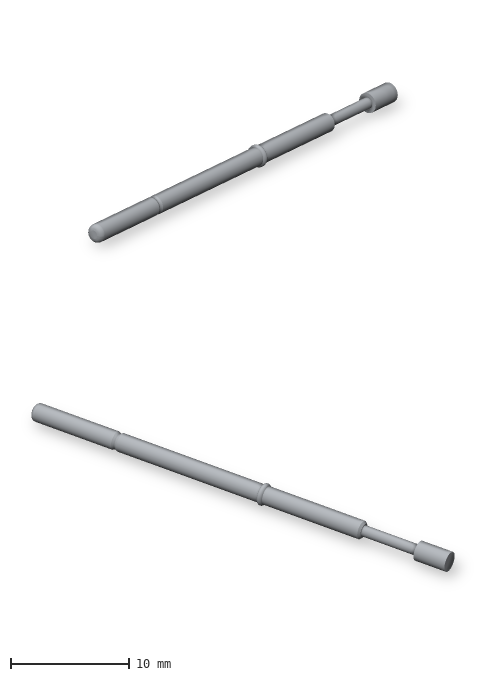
import cadquery as cq


TOTAL_LENGTH = 40.3
HEAD_LENGTH = 3.0
STEM_LENGTH = 5.3
RECEPTACLE_LENGTH = TOTAL_LENGTH - HEAD_LENGTH - STEM_LENGTH

HEAD_RADIUS = 1.8 / 2
STEM_RADIUS = 1.0 / 2
RECEPTACLE_RADIUS = 1.66 / 2
COLLAR_RADIUS = 2.0 / 2

TAIL_FILLET = 0.45
MOUTH_CHAMFER = 0.2

COLLAR_Y = 22.3
COLLAR_WIDTH = 0.5

GROOVE_Y = 8.15
GROOVE_WIDTH = 0.5
GROOVE_DEPTH = 0.12


def cylinder(radius, start_y, length):
    """Cylinder on the Y axis, from start_y towards +Y."""
    plane = cq.Workplane("XZ", origin=(0, start_y, 0))
    return plane.circle(radius).extrude(-length)


def make_receptacle():
    """Tube body with a rounded closed end and a chamfered mouth."""
    body = cylinder(RECEPTACLE_RADIUS, 0, RECEPTACLE_LENGTH)
    body = body.faces("<Y").edges().fillet(TAIL_FILLET)
    return body.faces(">Y").edges().chamfer(MOUTH_CHAMFER)


def make_collar():
    """Solid disc whose rim bulges in an arc from the receptacle wall."""
    start_y = COLLAR_Y - COLLAR_WIDTH / 2
    end_y = COLLAR_Y + COLLAR_WIDTH / 2
    profile = (
        cq.Workplane("XY")
        .moveTo(0, start_y)
        .lineTo(RECEPTACLE_RADIUS, start_y)
        .threePointArc((COLLAR_RADIUS, COLLAR_Y), (RECEPTACLE_RADIUS, end_y))
        .lineTo(0, end_y)
        .close()
    )
    return profile.revolve(360, (0, 0, 0), (0, 1, 0))


def make_groove():
    """Ring of triangular section that cuts the crimp groove."""
    profile = (
        cq.Workplane("XY")
        .moveTo(RECEPTACLE_RADIUS, GROOVE_Y - GROOVE_WIDTH / 2)
        .lineTo(RECEPTACLE_RADIUS - GROOVE_DEPTH, GROOVE_Y)
        .lineTo(RECEPTACLE_RADIUS, GROOVE_Y + GROOVE_WIDTH / 2)
        .close()
    )
    return profile.revolve(360, (0, 0, 0), (0, 1, 0))


stem = cylinder(STEM_RADIUS, RECEPTACLE_LENGTH, STEM_LENGTH)
head = cylinder(HEAD_RADIUS, TOTAL_LENGTH - HEAD_LENGTH, HEAD_LENGTH)

result = make_receptacle().union(make_collar()).cut(make_groove()).union(stem).union(head)